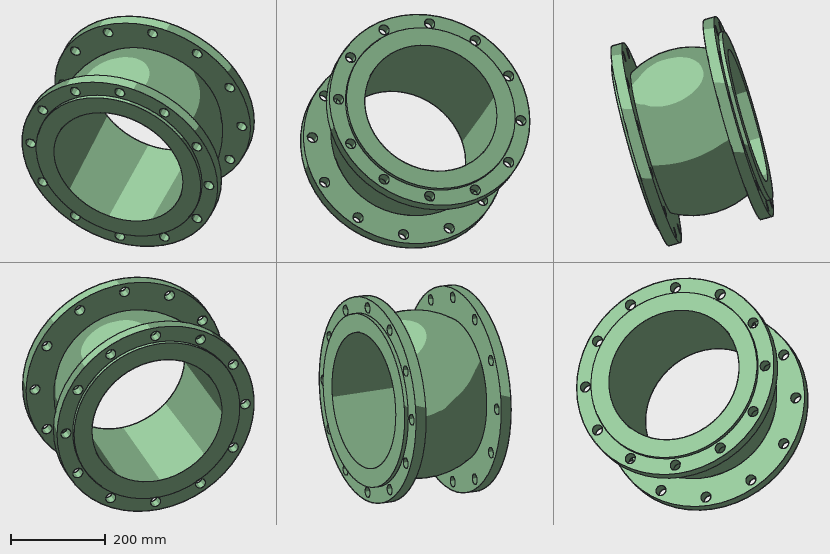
import cadquery as cq
import math

total_length = 245.0
flange_diameter = 440.0
flange_thickness = 24.0
face_diameter = 370.0
face_height = 9.0
bore_diameter = 290.0
bulge_diameter = 357.5
bolt_circle_diameter = 400.5
bolt_hole_diameter = 22.0
bolt_count = 12

half_length = total_length / 2
flange_outer_y = half_length - face_height
flange_inner_y = flange_outer_y - flange_thickness


def disc(diameter, y_start, y_end):
    """Solid cylinder along the Y axis between two Y positions."""
    plane = cq.Workplane("XZ", origin=(0, y_end, 0))
    return plane.circle(diameter / 2).extrude(y_end - y_start)


def drilled_flange(y_start):
    """Flange plate with a ring of bolt holes, one of them on the X axis."""
    y_end = y_start + flange_thickness
    bolt_holes = (
        cq.Workplane("XZ", origin=(0, y_end, 0))
        .polarArray(bolt_circle_diameter / 2, 0, 360, bolt_count)
        .circle(bolt_hole_diameter / 2)
        .extrude(flange_thickness)
    )
    return disc(flange_diameter, y_start, y_end).cut(bolt_holes)


bulge_radius = bulge_diameter / 2
bulge_end_radius = math.sqrt(bulge_radius**2 - flange_inner_y**2)
bulge = (
    cq.Workplane("XY")
    .moveTo(0, -flange_inner_y)
    .lineTo(bulge_end_radius, -flange_inner_y)
    .threePointArc((bulge_radius, 0), (bulge_end_radius, flange_inner_y))
    .lineTo(0, flange_inner_y)
    .close()
    .revolve(360, (0, 0, 0), (0, 1, 0))
)

front_face = disc(face_diameter, -half_length, -flange_inner_y)
back_face = disc(face_diameter, flange_inner_y, half_length)

body = bulge.union(front_face).union(back_face)
body = body.union(drilled_flange(-flange_outer_y)).union(drilled_flange(flange_inner_y))
result = body.cut(disc(bore_diameter, -half_length, half_length))